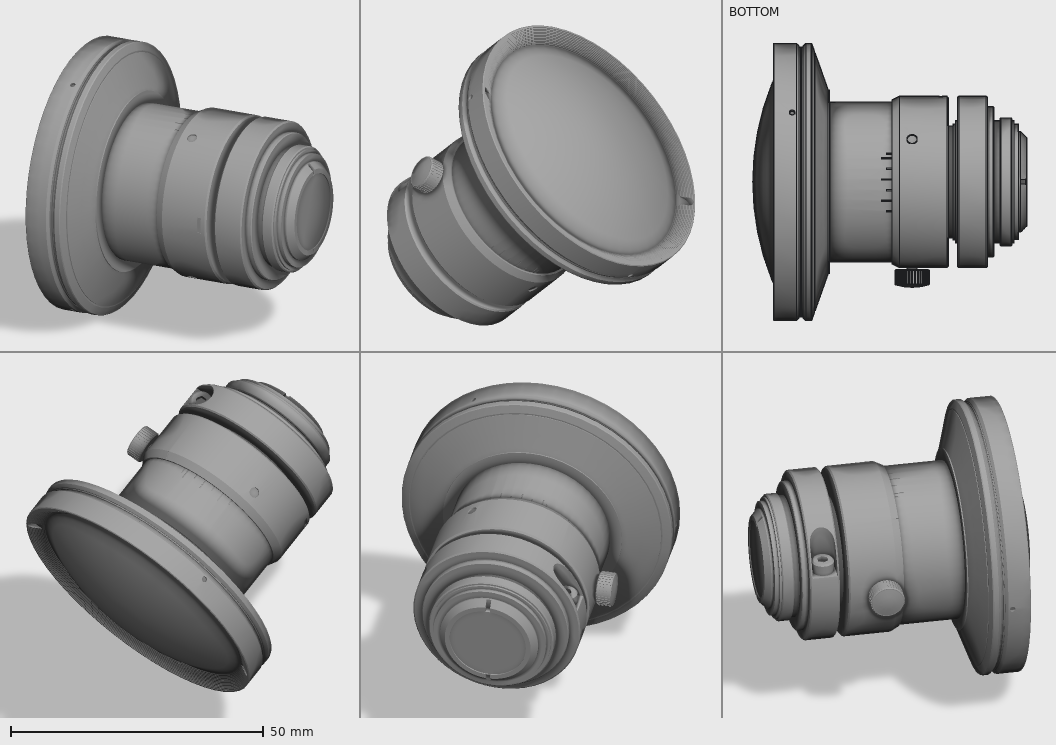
import cadquery as cq
import math

LENGTH = 54.3
OVERCUT = 0.55

BEZEL_RADIUS = 27.5
BEZEL_FRONT = 4.05
BEZEL_EDGE_CHAMFER = 0.15
DOME_RADIUS = 51.7
GLASS_RADIUS = 23.8
BAFFLE_RADIUS = 26.95
BAFFLE_STEPS = 12
GROOVE_START = 8.65
GROOVE_END = 10.5
GROOVE_BEVEL = 0.55
GROOVE_DEPTH = 0.7
SLIT_WIDTH = 0.3
SLIT_DEPTH = 0.2
BEZEL_END = 11.7
REAR_BEVEL_LENGTH = 0.2
REAR_BEVEL_DROP = 0.1
CONE_LARGE_RADIUS = BEZEL_RADIUS - REAR_BEVEL_DROP
CONE_END = 14.95
CONE_SMALL_RADIUS = 18.2
CONE_LIP_END = 15.2
SEAM_START = 12.25
SEAM_END = 12.4

BARREL_RADIUS = 15.85
RELIEF_WIDTH = 0.15
RELIEF_DEPTH = 0.1
IRIS_START = 27.55
IRIS_FRONT_RADIUS = 16.2
IRIS_CONE_END = 29.1
IRIS_RADIUS = 17.0
IRIS_END = 38.8
IRIS_CHAMFER = 0.35

NECK_RADIUS = 11.1
NECK_STEP = 39.7
NECK_STEP_RADIUS = 11.5
COLLAR_START = 40.15
COLLAR_RADIUS = 12.15
CLAMP_START = 40.55
CLAMP_END = 46.55
CLAMP_CHAMFER = 0.3
FLANGE_END = 47.8
FLANGE_RADIUS = 14.9
FLANGE_CHAMFER = 0.15
THREAD_START = 48.95
THREAD_END = 51.35
THREAD_RADIUS = 12.7
THREAD_CHAMFER = 0.2
THREAD_SHOULDER_END = 51.75
TAIL_END = 52.65
TAIL_RADIUS = 11.45
TIP_RADIUS = 9.95
TIP_CONE_START = 53.1

REAR_RECESS_RADIUS = 7.75
REAR_RECESS_DEPTH = 0.2
REAR_SLOT_WIDTH = 0.95

NOTCH_WIDTH = 2.0
NOTCH_CENTRE = 26.0
NOTCH_INNER = 24.35

SCREW_ANGLES = [0, 120, 240]
BEZEL_SCREW_X = 7.8
BEZEL_SCREW_DIAMETER = 1.1
BEZEL_SCREW_DEPTH = 0.55
IRIS_SCREW_X = 31.55
IRIS_SCREW_DIAMETER = 2.05
IRIS_SCREW_DEPTH = 0.35

KNOB_BOTTOM = 17.4
KNOB_TOP = 20.45
KNOB_DIAMETER = 6.8
KNOB_CHAMFER = 0.2
CROWN_TOP = 20.9
CROWN_RADIUS = 3.0
KNURL_COUNT = 36
KNURL_SIZE = 0.2

CLAMP_SCREW_X = 43.45
CLAMP_SCREW_Y = 13.4
POCKET_WIDTH = 5.05
POCKET_FLOOR = 4.7
CLAMP_HEAD_DIAMETER = 4.5
CLAMP_HEAD_HEIGHT = 2.5
CLAMP_HEAD_CHAMFER = 0.35
SOCKET_FLATS = 2.0
SOCKET_DEPTH = 1.1
SOCKET_TURN = 30

WINDOW_START = 36.85
WINDOW_LENGTH = 0.75
WINDOW_HEIGHT = 3.2
WINDOW_DEPTH = 0.2
ENGRAVING_DEPTH = 0.1
MARK_WIDTH = 0.3
INDEX_ANGLE = 51.0
SCALE_FIRST_ANGLE = 72.7
SCALE_PITCH = 7.8
SCALE_COUNT = 6
SCALE_EXTRA_ANGLE = 69.5
SHORT_MARK = 1.1
LONG_MARK = 2.05


def dome_sag(radius):
    """Distance along X from the apex to the dome surface at a given radius."""
    return DOME_RADIUS - math.sqrt(DOME_RADIUS**2 - radius**2)


def cone_radius(x):
    """Radius of the cone behind the bezel at a given X."""
    fraction = (x - BEZEL_END) / (CONE_END - BEZEL_END)
    return CONE_LARGE_RADIUS + fraction * (CONE_SMALL_RADIUS - CONE_LARGE_RADIUS)


GLASS_EDGE = dome_sag(GLASS_RADIUS)
BAFFLE_TREAD = (BAFFLE_RADIUS - GLASS_RADIUS) / BAFFLE_STEPS
BAFFLE_RISE = (GLASS_EDGE - BEZEL_FRONT) / BAFFLE_STEPS


def lens_body():
    """Turned body: the dome, the stepped baffle and every concentric ring."""
    half_glass = GLASS_RADIUS / 2
    profile = cq.Workplane("XY").threePointArc(
        (dome_sag(half_glass), half_glass), (GLASS_EDGE, GLASS_RADIUS)
    )
    for step in range(BAFFLE_STEPS):
        x = GLASS_EDGE - step * BAFFLE_RISE
        radius = GLASS_RADIUS + (step + 1) * BAFFLE_TREAD
        profile = profile.lineTo(x, radius).lineTo(x - BAFFLE_RISE, radius)
    slit_start = (GROOVE_START + GROOVE_END - SLIT_WIDTH) / 2
    outline = [
        (BEZEL_FRONT, BEZEL_RADIUS - BEZEL_EDGE_CHAMFER),
        (BEZEL_FRONT + BEZEL_EDGE_CHAMFER, BEZEL_RADIUS),
        (GROOVE_START, BEZEL_RADIUS),
        (GROOVE_START + GROOVE_BEVEL, BEZEL_RADIUS - GROOVE_BEVEL),
        (GROOVE_START + GROOVE_BEVEL, BEZEL_RADIUS - GROOVE_DEPTH),
        (slit_start, BEZEL_RADIUS - GROOVE_DEPTH),
        (slit_start, BEZEL_RADIUS - GROOVE_DEPTH - SLIT_DEPTH),
        (slit_start + SLIT_WIDTH, BEZEL_RADIUS - GROOVE_DEPTH - SLIT_DEPTH),
        (slit_start + SLIT_WIDTH, BEZEL_RADIUS - GROOVE_DEPTH),
        (GROOVE_END - GROOVE_BEVEL, BEZEL_RADIUS - GROOVE_DEPTH),
        (GROOVE_END - GROOVE_BEVEL, BEZEL_RADIUS - GROOVE_BEVEL),
        (GROOVE_END, BEZEL_RADIUS),
        (BEZEL_END - REAR_BEVEL_LENGTH, BEZEL_RADIUS),
        (BEZEL_END, CONE_LARGE_RADIUS),
        (SEAM_START, cone_radius(SEAM_START)),
        (SEAM_START, cone_radius(SEAM_END)),
        (SEAM_END, cone_radius(SEAM_END)),
        (CONE_END, CONE_SMALL_RADIUS),
        (CONE_LIP_END, CONE_SMALL_RADIUS),
        (CONE_LIP_END, BARREL_RADIUS - RELIEF_DEPTH),
        (CONE_LIP_END + RELIEF_WIDTH, BARREL_RADIUS - RELIEF_DEPTH),
        (CONE_LIP_END + RELIEF_WIDTH, BARREL_RADIUS),
        (IRIS_START, BARREL_RADIUS),
        (IRIS_START, IRIS_FRONT_RADIUS),
        (IRIS_CONE_END, IRIS_RADIUS),
        (IRIS_END - IRIS_CHAMFER, IRIS_RADIUS),
        (IRIS_END, IRIS_RADIUS - IRIS_CHAMFER),
        (IRIS_END, NECK_RADIUS),
        (NECK_STEP, NECK_RADIUS),
        (NECK_STEP, NECK_STEP_RADIUS),
        (COLLAR_START, NECK_STEP_RADIUS),
        (COLLAR_START, COLLAR_RADIUS),
        (CLAMP_START, COLLAR_RADIUS),
        (CLAMP_START, IRIS_RADIUS - CLAMP_CHAMFER),
        (CLAMP_START + CLAMP_CHAMFER, IRIS_RADIUS),
        (CLAMP_END - CLAMP_CHAMFER, IRIS_RADIUS),
        (CLAMP_END, IRIS_RADIUS - CLAMP_CHAMFER),
        (CLAMP_END, FLANGE_RADIUS),
        (FLANGE_END - FLANGE_CHAMFER, FLANGE_RADIUS),
        (FLANGE_END, FLANGE_RADIUS - FLANGE_CHAMFER),
        (FLANGE_END, COLLAR_RADIUS),
        (THREAD_START, COLLAR_RADIUS),
        (THREAD_START, THREAD_RADIUS - THREAD_CHAMFER),
        (THREAD_START + THREAD_CHAMFER, THREAD_RADIUS),
        (THREAD_END - THREAD_CHAMFER, THREAD_RADIUS),
        (THREAD_END, THREAD_RADIUS - THREAD_CHAMFER),
        (THREAD_END, COLLAR_RADIUS),
        (THREAD_SHOULDER_END, COLLAR_RADIUS),
        (THREAD_SHOULDER_END, TAIL_RADIUS),
        (TAIL_END, TAIL_RADIUS),
        (TAIL_END, TIP_RADIUS),
        (TIP_CONE_START, TIP_RADIUS),
        (LENGTH, TIP_RADIUS - (LENGTH - TIP_CONE_START)),
        (LENGTH, REAR_RECESS_RADIUS),
        (LENGTH - REAR_RECESS_DEPTH, REAR_RECESS_RADIUS),
        (LENGTH - REAR_RECESS_DEPTH, 0),
    ]
    for x, radius in outline:
        profile = profile.lineTo(x, radius)
    return profile.close().revolve(360, (0, 0, 0), (1, 0, 0))


def box_between(x_range, y_range, z_range):
    """Axis-aligned box given its lower and upper limits along X, Y and Z."""
    corner = (x_range[0], y_range[0], z_range[0])
    sizes = [high - low for low, high in (x_range, y_range, z_range)]
    return cq.Workplane("XY").box(*sizes, centered=False).translate(corner)


def about_axis(shape, angle):
    """Turn a shape round the lens axis, from +Y towards +Z."""
    return shape.rotate((0, 0, 0), (1, 0, 0), angle)


def y_cylinder(x, y, diameter, length):
    """Cylinder along +Y that starts at the given X and Y, with Z = 0."""
    return cq.Workplane(
        cq.Solid.makeCylinder(diameter / 2, length, cq.Vector(x, y, 0), cq.Vector(0, 1, 0))
    )


def cut_screw_holes(body, x, surface_radius, diameter, depth):
    """Shallow radial holes, evenly spaced round the axis."""
    hole = y_cylinder(x, surface_radius - depth, diameter, depth + OVERCUT)
    for angle in SCREW_ANGLES:
        body = body.cut(about_axis(hole, angle))
    return body


def cut_spanner_notches(body):
    """Two opposite notches in the baffle, round outside and open towards the glass."""
    inner_steps = round((NOTCH_INNER - GLASS_RADIUS) / BAFFLE_TREAD)
    floor = GLASS_EDGE - inner_steps * BAFFLE_RISE
    front = BEZEL_FRONT - OVERCUT
    half_width = NOTCH_WIDTH / 2
    notch = cq.Workplane(
        cq.Solid.makeCylinder(
            half_width, floor - front, cq.Vector(front, NOTCH_CENTRE, 0), cq.Vector(1, 0, 0)
        )
    ).union(box_between((front, floor), (NOTCH_INNER, NOTCH_CENTRE), (-half_width, half_width)))
    for angle in (0, 180):
        body = body.cut(about_axis(notch, angle))
    return body


def cut_rear_slots(body):
    """Two opposite slots across the rear tip, on +Z and -Z."""
    slot = box_between(
        (TIP_CONE_START, LENGTH + OVERCUT),
        (-REAR_SLOT_WIDTH / 2, REAR_SLOT_WIDTH / 2),
        (REAR_RECESS_RADIUS, TIP_RADIUS + OVERCUT),
    )
    for angle in (0, 180):
        body = body.cut(about_axis(slot, angle))
    return body


def cut_engraved_marks(body):
    """Window on -Y, index line on the iris cone, two opposite aperture scales."""
    window = box_between(
        (WINDOW_START, WINDOW_START + WINDOW_LENGTH),
        (-IRIS_RADIUS - OVERCUT, -IRIS_RADIUS + WINDOW_DEPTH),
        (-WINDOW_HEIGHT / 2, WINDOW_HEIGHT / 2),
    )
    body = body.cut(window)

    half_width = MARK_WIDTH / 2
    index_line = (
        cq.Workplane("XY")
        .polyline(
            [
                (IRIS_START, IRIS_FRONT_RADIUS - ENGRAVING_DEPTH),
                (IRIS_CONE_END, IRIS_RADIUS - ENGRAVING_DEPTH),
                (IRIS_CONE_END, IRIS_RADIUS + OVERCUT),
                (IRIS_START, IRIS_RADIUS + OVERCUT),
            ]
        )
        .close()
        .extrude(half_width, both=True)
    )
    body = body.cut(about_axis(index_line, INDEX_ANGLE))

    marks = [(SCALE_EXTRA_ANGLE, SHORT_MARK)]
    for number in range(SCALE_COUNT):
        length = SHORT_MARK if number % 2 else LONG_MARK
        marks.append((SCALE_FIRST_ANGLE + number * SCALE_PITCH, length))
    for angle, length in marks:
        mark = box_between(
            (IRIS_START - length, IRIS_START),
            (BARREL_RADIUS - ENGRAVING_DEPTH, BARREL_RADIUS + OVERCUT),
            (-half_width, half_width),
        )
        body = body.cut(about_axis(mark, angle)).cut(about_axis(mark, angle + 180))
    return body


def thumb_screw():
    """Knurled thumb screw on +Y, its stem sunk into the iris ring."""
    radius = KNOB_DIAMETER / 2
    crown_height = CROWN_TOP - KNOB_TOP
    crown_sphere = (CROWN_RADIUS**2 + crown_height**2) / (2 * crown_height)
    crown_half = CROWN_RADIUS / 2
    crown_drop = crown_sphere - math.sqrt(crown_sphere**2 - crown_half**2)
    crown_middle = (crown_half, CROWN_TOP - crown_drop)
    knob = (
        cq.Workplane("XY")
        .moveTo(0, KNOB_BOTTOM)
        .lineTo(radius - KNOB_CHAMFER, KNOB_BOTTOM)
        .lineTo(radius, KNOB_BOTTOM + KNOB_CHAMFER)
        .lineTo(radius, KNOB_TOP - KNOB_CHAMFER)
        .lineTo(radius - KNOB_CHAMFER, KNOB_TOP)
        .lineTo(CROWN_RADIUS, KNOB_TOP)
        .threePointArc(crown_middle, (0, CROWN_TOP))
        .close()
        .revolve(360, (0, 0, 0), (0, 1, 0))
    )
    knurls = (
        cq.Workplane("XZ", origin=(0, KNOB_BOTTOM - OVERCUT, 0))
        .polarArray(radius, 0, 360, KNURL_COUNT)
        .rect(KNURL_SIZE, KNURL_SIZE)
        .extrude(-(KNOB_TOP - KNOB_BOTTOM + 2 * OVERCUT))
    )
    knob = knob.cut(knurls).translate((IRIS_SCREW_X, 0, 0))
    stem_start = IRIS_RADIUS - IRIS_SCREW_DEPTH - OVERCUT
    stem_length = KNOB_BOTTOM + KNOB_CHAMFER - stem_start
    stem = y_cylinder(IRIS_SCREW_X, stem_start, IRIS_SCREW_DIAMETER, stem_length)
    return knob.union(stem)


def add_clamp_screw(body):
    """Pocket open towards +Y in the clamp ring, holding a socket-head screw."""
    pocket_height = IRIS_RADIUS - POCKET_FLOOR
    half_width = POCKET_WIDTH / 2
    floor = cq.Workplane("XY", origin=(CLAMP_SCREW_X, CLAMP_SCREW_Y, POCKET_FLOOR))
    pocket = floor.circle(half_width).extrude(pocket_height).union(
        box_between(
            (CLAMP_SCREW_X - half_width, CLAMP_SCREW_X + half_width),
            (CLAMP_SCREW_Y, IRIS_RADIUS + OVERCUT),
            (POCKET_FLOOR, IRIS_RADIUS),
        )
    )
    socket_corners = SOCKET_FLATS / math.cos(math.pi / 6)
    head = (
        floor.circle(CLAMP_HEAD_DIAMETER / 2)
        .extrude(CLAMP_HEAD_HEIGHT)
        .faces(">Z")
        .chamfer(CLAMP_HEAD_CHAMFER)
        .faces(">Z")
        .workplane()
        .transformed(rotate=(0, 0, SOCKET_TURN))
        .polygon(6, socket_corners)
        .cutBlind(-SOCKET_DEPTH)
    )
    return body.cut(pocket).union(head)


body = lens_body()
body = cut_spanner_notches(body)
body = cut_rear_slots(body)
body = cut_screw_holes(body, BEZEL_SCREW_X, BEZEL_RADIUS, BEZEL_SCREW_DIAMETER, BEZEL_SCREW_DEPTH)
body = cut_screw_holes(body, IRIS_SCREW_X, IRIS_RADIUS, IRIS_SCREW_DIAMETER, IRIS_SCREW_DEPTH)
body = cut_engraved_marks(body)
body = add_clamp_screw(body)
result = body.union(thumb_screw())